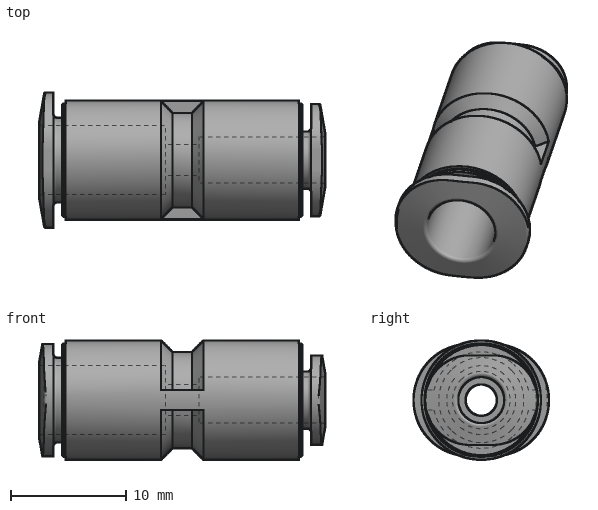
import cadquery as cq
import math


overall_length = 24.9
passage_dia = 2.7
socket_depth = 11.0

body_length = 20.9
body_dia = 10.4
end_ring_dia = 9.88
end_ring_length = 0.3
end_ring_chamfer = 0.15

waist_dia = 8.4
waist_width = 1.7
rib_width = 1.72
cutter_margin = 1.0

left_tube_dia = 6.0
left_neck_dia = 7.4
left_flange_height = 9.8
right_tube_dia = 4.0
right_neck_dia = 5.0
right_flange_height = 7.8
flange_thickness = 1.25
flange_flat_length = 2.0
flange_face_angle = 10.0
flange_rim_fillet = 0.2
neck_fillet = 0.3
mouth_radius = 0.3

half_length = overall_length / 2
half_body = body_length / 2
cos_45 = math.sqrt(0.5)


def make_body():
    """Turned body with a stepped, chamfered ring at both ends."""
    body_radius = body_dia / 2
    ring_radius = end_ring_dia / 2
    shoulder = half_body - end_ring_length
    chamfer_start = half_body - end_ring_chamfer
    tip_radius = ring_radius - end_ring_chamfer
    profile = (
        cq.Workplane("XY")
        .moveTo(-half_body, 0)
        .lineTo(-half_body, tip_radius)
        .lineTo(-chamfer_start, ring_radius)
        .lineTo(-shoulder, ring_radius)
        .lineTo(-shoulder, body_radius)
        .lineTo(shoulder, body_radius)
        .lineTo(shoulder, ring_radius)
        .lineTo(chamfer_start, ring_radius)
        .lineTo(half_body, tip_radius)
        .lineTo(half_body, 0)
        .close()
    )
    return profile.revolve(360, (0, 0, 0), (1, 0, 0))


def make_waist_cutter():
    """Groove with 45 degree walls, interrupted by a rib on the +Y and -Y sides."""
    waist_radius = waist_dia / 2
    cutter_radius = body_dia / 2 + cutter_margin
    half_bottom = waist_width / 2
    half_top = half_bottom + cutter_radius - waist_radius
    groove = (
        cq.Workplane("XY")
        .moveTo(-half_bottom, waist_radius)
        .lineTo(half_bottom, waist_radius)
        .lineTo(half_top, cutter_radius)
        .lineTo(-half_top, cutter_radius)
        .close()
        .revolve(360, (0, 0, 0), (1, 0, 0))
    )
    ribs = cq.Workplane("XY").box(2 * half_top, 2 * cutter_radius, rib_width)
    return groove.cut(ribs)


def make_sleeve(tube_dia, neck_dia, flange_height):
    """Release sleeve at the -X end: oblong flange with a conical face, on a round neck."""
    neck_radius = neck_dia / 2
    flange_width = flange_height + flange_flat_length
    outer_radius = flange_width / 2
    mouth_edge_radius = tube_dia / 2 + mouth_radius
    face_x = -half_length
    face_angle = math.radians(flange_face_angle)

    rim_centre_radius = outer_radius - flange_rim_fillet
    cone_end_radius = rim_centre_radius + flange_rim_fillet * math.sin(face_angle)
    cone_end_x = face_x + (cone_end_radius - mouth_edge_radius) * math.tan(face_angle)
    rim_centre_x = cone_end_x + flange_rim_fillet * math.cos(face_angle)
    rim_middle_angle = (math.pi / 2 + face_angle) / 2
    rim_middle_x = rim_centre_x - flange_rim_fillet * math.cos(rim_middle_angle)
    rim_middle_radius = rim_centre_radius + flange_rim_fillet * math.sin(rim_middle_angle)

    back_x = face_x + flange_thickness
    fillet_middle = neck_fillet * (1 - cos_45)
    turned = (
        cq.Workplane("XY")
        .moveTo(face_x, 0)
        .lineTo(face_x, mouth_edge_radius)
        .lineTo(cone_end_x, cone_end_radius)
        .threePointArc((rim_middle_x, rim_middle_radius), (rim_centre_x, outer_radius))
        .lineTo(back_x, outer_radius)
        .lineTo(back_x, neck_radius + neck_fillet)
        .threePointArc(
            (back_x + fillet_middle, neck_radius + fillet_middle),
            (back_x + neck_fillet, neck_radius),
        )
        .lineTo(-half_body + end_ring_length, neck_radius)
        .lineTo(-half_body + end_ring_length, 0)
        .close()
        .revolve(360, (0, 0, 0), (1, 0, 0))
    )
    oblong = (
        cq.Workplane("YZ", origin=(face_x, 0, 0))
        .slot2D(flange_width, flange_height)
        .extrude(half_length)
    )
    return turned.intersect(oblong)


def make_socket(tube_dia):
    """Cutter for the tube socket at the -X end, with a rounded mouth."""
    tube_radius = tube_dia / 2
    mouth_middle = mouth_radius * (1 - cos_45)
    face_x = -half_length
    floor_x = face_x + socket_depth
    return (
        cq.Workplane("XY")
        .moveTo(face_x, 0)
        .lineTo(face_x, tube_radius + mouth_radius)
        .threePointArc(
            (face_x + mouth_middle, tube_radius + mouth_middle),
            (face_x + mouth_radius, tube_radius),
        )
        .lineTo(floor_x, tube_radius)
        .lineTo(floor_x, 0)
        .close()
        .revolve(360, (0, 0, 0), (1, 0, 0))
    )


left_sleeve = make_sleeve(left_tube_dia, left_neck_dia, left_flange_height)
right_sleeve = make_sleeve(right_tube_dia, right_neck_dia, right_flange_height).mirror("YZ")
left_socket = make_socket(left_tube_dia)
right_socket = make_socket(right_tube_dia).mirror("YZ")
passage = (
    cq.Workplane("YZ", origin=(-half_length, 0, 0))
    .circle(passage_dia / 2)
    .extrude(overall_length)
)

result = (
    make_body()
    .cut(make_waist_cutter())
    .union(left_sleeve)
    .union(right_sleeve)
    .cut(left_socket)
    .cut(right_socket)
    .cut(passage)
)